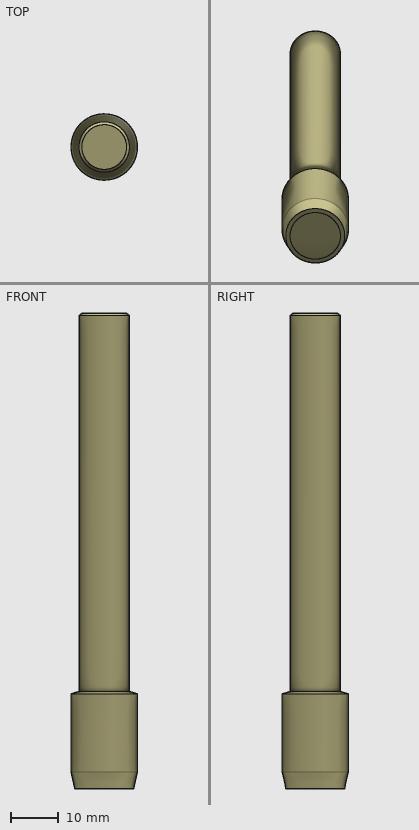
import cadquery as cq

total_length = 100.0
rod_diameter = 10.6
rod_top_diameter = 9.4
rod_chamfer_height = 0.5

sleeve_diameter = 14.0
sleeve_tip_diameter = 12.4
sleeve_tip_height = 3.6
sleeve_rim_height = 20.0
sleeve_shoulder_rise = 0.5

rod_radius = rod_diameter / 2
rod_top_radius = rod_top_diameter / 2
sleeve_radius = sleeve_diameter / 2
sleeve_tip_radius = sleeve_tip_diameter / 2


def revolve_profile(points):
    """Turn a closed (radius, height) outline about the Z axis."""
    return cq.Workplane("XZ").polyline(points).close().revolve(360, (0, 0), (0, 1))


def make_rod():
    """Full-length rod with a chamfered top end."""
    return revolve_profile([
        (0, 0),
        (rod_radius, 0),
        (rod_radius, total_length - rod_chamfer_height),
        (rod_top_radius, total_length),
        (0, total_length),
    ])


def make_sleeve():
    """Bored sleeve with a tapered lower tip and a shallow conical shoulder."""
    return revolve_profile([
        (rod_radius, 0),
        (sleeve_tip_radius, 0),
        (sleeve_radius, sleeve_tip_height),
        (sleeve_radius, sleeve_rim_height),
        (rod_radius, sleeve_rim_height + sleeve_shoulder_rise),
    ])


rod = make_rod()
sleeve = make_sleeve()

result = cq.Compound.makeCompound([rod.val(), sleeve.val()])